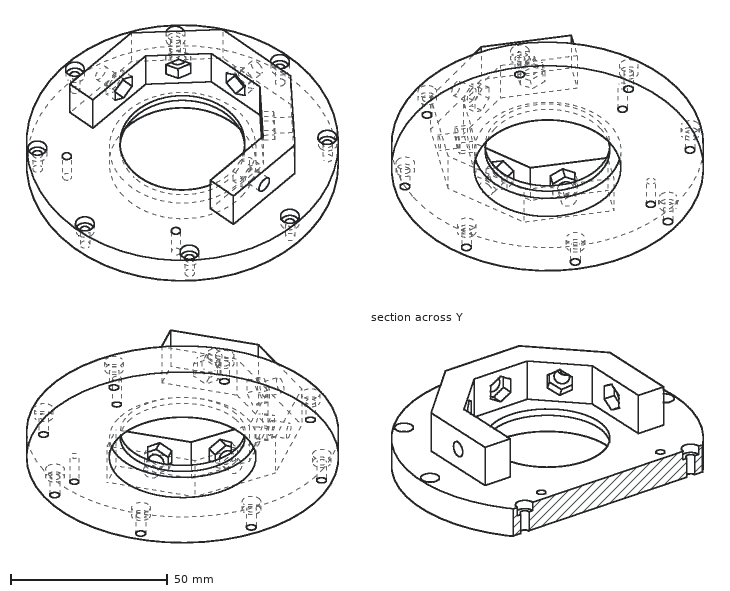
import cadquery as cq
import math

plate_diameter = 100.0
plate_height = 10.0
bore_diameter = 40.0
lip_height = 2.3
recess_diameter = 47.0

screw_count = 8
screw_circle_radius = 46.5
screw_hole_diameter = 3.1
screw_head_diameter = 6.0
screw_head_depth = 3.0

pin_hole_diameter = 2.9
pin_hole_x = 23.6
pin_hole_y = -29.1

octagon_side_angle = 45
wall_side_count = 5
wall_height = 13.8
wall_thickness = 10.0
wall_outer_apothem = 35.4
wall_inner_apothem = wall_outer_apothem - wall_thickness
half_side_per_apothem = math.tan(math.radians(octagon_side_angle / 2))
wall_end_y = -wall_outer_apothem * half_side_per_apothem

bolt_hole_diameter = 5.0
bolt_z = plate_height + wall_height / 2
nut_across_flats = 8.0
nut_across_corners = nut_across_flats / math.cos(math.pi / 6)
nut_depth = 4.0


def make_plate():
    """Plate with its stepped bore, rim screw holes and pin holes."""
    blank = cq.Workplane("XY").circle(plate_diameter / 2).circle(bore_diameter / 2).extrude(plate_height)
    recess = cq.Workplane("XY").circle(recess_diameter / 2).extrude(plate_height - lip_height)
    with_screw_holes = (
        blank.cut(recess)
        .faces(">Z").workplane(origin=(0, 0, plate_height))
        .polarArray(screw_circle_radius, 0, 360, screw_count)
        .cboreHole(screw_hole_diameter, screw_head_diameter, screw_head_depth)
    )
    return (
        with_screw_holes
        .faces(">Z").workplane(origin=(0, 0, plate_height))
        .pushPoints([(-pin_hole_x, pin_hole_y), (pin_hole_x, pin_hole_y)])
        .hole(pin_hole_diameter)
    )


def wall_corners(apothem):
    """Corner points of the wall outline at one apothem, from the +X end round to the -X end."""
    half_side = apothem * half_side_per_apothem
    return [
        (apothem, wall_end_y),
        (apothem, half_side),
        (half_side, apothem),
        (-half_side, apothem),
        (-apothem, half_side),
        (-apothem, wall_end_y),
    ]


def make_wall():
    """Wall of constant thickness, open towards -Y and standing on the plate."""
    outline = wall_corners(wall_outer_apothem) + wall_corners(wall_inner_apothem)[::-1]
    return cq.Workplane("XY").workplane(offset=plate_height).polyline(outline).close().extrude(wall_height)


def make_bolt_cutter(angle):
    """Bolt hole and nut pocket pointing outward from the centre at the given angle in degrees."""
    outward = cq.Vector(math.cos(math.radians(angle)), math.sin(math.radians(angle)), 0)
    inner_face = cq.Plane(
        origin=outward * wall_inner_apothem + cq.Vector(0, 0, bolt_z),
        xDir=(0, 0, 1),
        normal=outward,
    )
    bolt_hole = cq.Workplane(inner_face).circle(bolt_hole_diameter / 2).extrude(wall_thickness)
    nut_pocket = cq.Workplane(inner_face).polygon(6, nut_across_corners).extrude(nut_depth)
    return bolt_hole.union(nut_pocket)


result = make_plate().union(make_wall())
for side in range(wall_side_count):
    result = result.cut(make_bolt_cutter(side * octagon_side_angle))